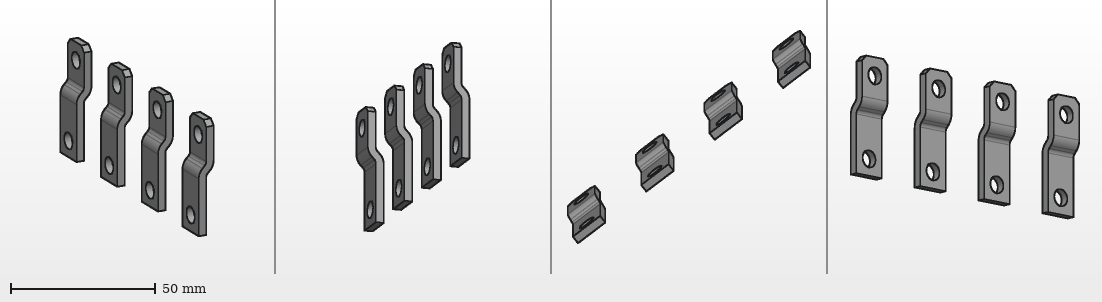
import cadquery as cq
import math

link_count = 4
row_length = 102.0
width = 12.0
pitch = (row_length - width) / (link_count - 1)

height = 41.7
thickness = 3.0
offset = 3.0
bend_angle = math.radians(45)
inner_radius = 2.0
outer_radius = inner_radius + thickness
lower_bend_z = 21.1

hole_diameter = 6.0
lower_hole_z = 6.0
upper_hole_z = height - 6.6
corner_chamfer = 2.0

inner_dy = inner_radius * (1 - math.cos(bend_angle))
inner_dz = inner_radius * math.sin(bend_angle)
outer_dy = outer_radius * (1 - math.cos(bend_angle))
outer_dz = outer_radius * math.sin(bend_angle)
ramp_dy = offset - inner_dy - outer_dy
ramp_dz = ramp_dy / math.tan(bend_angle)
upper_bend_z = lower_bend_z + outer_dz + ramp_dz + inner_dz


def make_strip():
    """Bent strip without holes; its lower front edge lies along the X axis."""
    upper_back = offset + thickness
    return (
        cq.Workplane("YZ")
        .moveTo(0, 0)
        .lineTo(0, lower_bend_z)
        .tangentArcPoint((outer_dy, lower_bend_z + outer_dz), relative=False)
        .lineTo(offset - inner_dy, upper_bend_z - inner_dz)
        .tangentArcPoint((offset, upper_bend_z), relative=False)
        .lineTo(offset, height)
        .lineTo(upper_back, height)
        .lineTo(upper_back, upper_bend_z)
        .tangentArcPoint((upper_back - outer_dy, upper_bend_z - outer_dz), relative=False)
        .lineTo(thickness + inner_dy, lower_bend_z + inner_dz)
        .tangentArcPoint((thickness, lower_bend_z), relative=False)
        .lineTo(thickness, 0)
        .close()
        .extrude(width)
    )


def make_holes():
    """Cutters for the two bolt holes, running along Y through both legs."""
    return (
        cq.Workplane("XZ")
        .pushPoints([(width / 2, lower_hole_z), (width / 2, upper_hole_z)])
        .circle(hole_diameter / 2)
        .extrude(-(offset + thickness))
    )


def make_link():
    """Joggled link with two holes and chamfered upper corners."""
    strip = make_strip().faces(">Z").edges("|Y").chamfer(corner_chamfer)
    return strip.cut(make_holes())


link = make_link()
links = [link.translate((i * pitch, 0, 0)).solids().val() for i in range(link_count)]

result = cq.Compound.makeCompound(links)